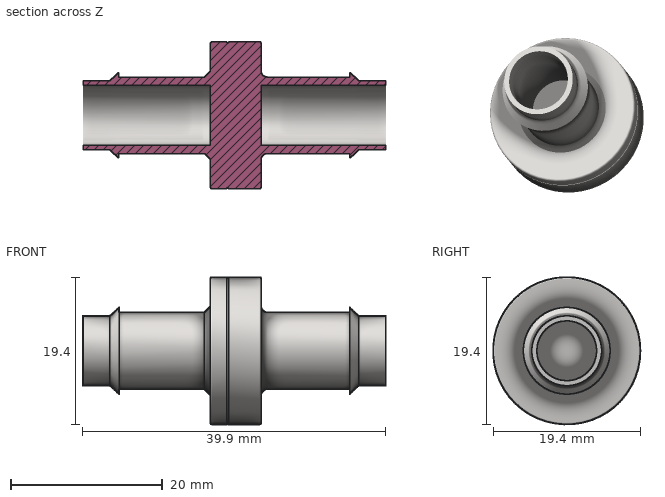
import cadquery as cq

total_length = 39.88
end_x = total_length / 2

tip_radius = 9.2 / 2
tip_length = 3.56
barb_radius = 11.43 / 2
barb_length = 1.2
stem_radius = 10.16 / 2
bore_radius = 7.87 / 2
barb_start_x = end_x - tip_length
barb_end_x = barb_start_x - barb_length

flange_radius = 19.43 / 2
flange_left_x = -3.175
flange_right_x = 3.555
rim_round = 0.25
groove_x = -0.89
groove_radius = 0.13

root_size = 0.76
root_radius = stem_radius + root_size


def revolve_about_x(profile):
    return profile.revolve(360, (0, 0, 0), (1, 0, 0))


def stem(direction, flange_face_x):
    """Barbed stem from the flange face to its tip; direction is -1 or +1."""
    profile = (
        cq.Workplane("XY")
        .moveTo(flange_face_x, 0)
        .lineTo(direction * end_x, 0)
        .lineTo(direction * end_x, tip_radius)
        .lineTo(direction * barb_start_x, tip_radius)
        .lineTo(direction * barb_end_x, barb_radius)
        .lineTo(direction * barb_end_x, stem_radius)
        .lineTo(flange_face_x, stem_radius)
        .close()
    )
    return revolve_about_x(profile)


def conical_root():
    """45 degree cone between the -X stem and the flange."""
    profile = (
        cq.Workplane("XY")
        .moveTo(flange_left_x, 0)
        .lineTo(flange_left_x - root_size, 0)
        .lineTo(flange_left_x - root_size, stem_radius)
        .lineTo(flange_left_x, root_radius)
        .close()
    )
    return revolve_about_x(profile)


def filleted_root():
    """Concave fillet between the +X stem and the flange."""
    profile = (
        cq.Workplane("XY")
        .moveTo(flange_right_x, 0)
        .lineTo(flange_right_x + root_size, 0)
        .lineTo(flange_right_x + root_size, stem_radius)
        .radiusArc((flange_right_x, root_radius), root_size)
        .close()
    )
    return revolve_about_x(profile)


def flange():
    """Disc with rounded rim edges and a half-round groove."""
    rim_edge_radius = flange_radius - rim_round
    profile = (
        cq.Workplane("XY")
        .moveTo(flange_left_x, 0)
        .lineTo(flange_left_x, rim_edge_radius)
        .radiusArc((flange_left_x + rim_round, flange_radius), rim_round)
        .lineTo(groove_x - groove_radius, flange_radius)
        .threePointArc(
            (groove_x, flange_radius - groove_radius),
            (groove_x + groove_radius, flange_radius),
        )
        .lineTo(flange_right_x - rim_round, flange_radius)
        .radiusArc((flange_right_x, rim_edge_radius), rim_round)
        .lineTo(flange_right_x, 0)
        .close()
    )
    return revolve_about_x(profile)


def bore(direction, flange_face_x):
    """Blind bore from the stem tip to the plane of the flange face."""
    depth = end_x - abs(flange_face_x)
    return (
        cq.Workplane("YZ", origin=(flange_face_x, 0, 0))
        .circle(bore_radius)
        .extrude(direction * depth)
    )


result = flange().union(conical_root()).union(filleted_root())
for side, face_x in ((-1, flange_left_x), (1, flange_right_x)):
    result = result.union(stem(side, face_x)).cut(bore(side, face_x))